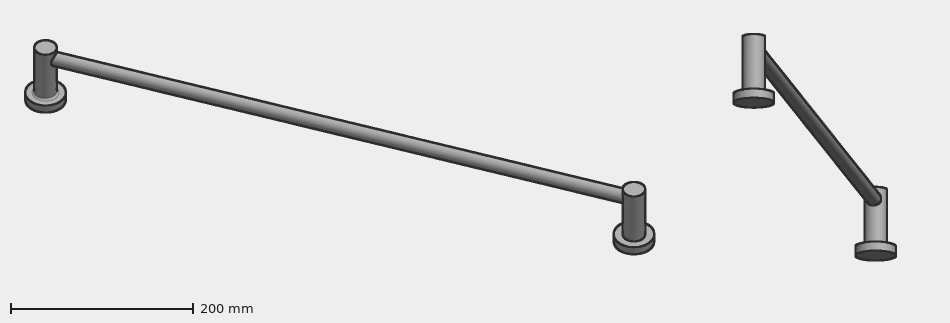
import cadquery as cq

overall_length = 734
overall_height = 75.0

flange_diameter = 45.0
flange_thickness = 10.0

post_diameter = 25.0
bar_diameter = 16.0
bar_axis_drop = 13.0
left_foot_fillet = 2.0

post_x = (overall_length - flange_diameter) / 2
bar_axis_height = overall_height - bar_axis_drop


def make_support(x):
    """Round post standing on its wall flange."""
    flange = cq.Workplane("XY").center(x, 0).circle(flange_diameter / 2).extrude(flange_thickness)
    post = cq.Workplane("XY").center(x, 0).circle(post_diameter / 2).extrude(overall_height)
    return flange.union(post)


def fillet_foot(support, x):
    """Round the inner corner between a post and the top of its flange."""
    foot_corner = cq.selectors.RadiusNthSelector(0)
    foot_height = cq.selectors.NearestToPointSelector((x, 0, flange_thickness))
    return support.edges("%CIRCLE").edges(foot_corner).edges(foot_height).fillet(left_foot_fillet)


def make_bar():
    """Round horizontal bar running from one post axis to the other."""
    return (
        cq.Workplane("YZ", origin=(-post_x, 0, bar_axis_height))
        .circle(bar_diameter / 2)
        .extrude(2 * post_x)
    )


left_support = fillet_foot(make_support(-post_x), -post_x)
right_support = make_support(post_x)

bar = make_bar().cut(left_support).cut(right_support)

result = cq.Compound.makeCompound([left_support.val(), right_support.val(), bar.val()])